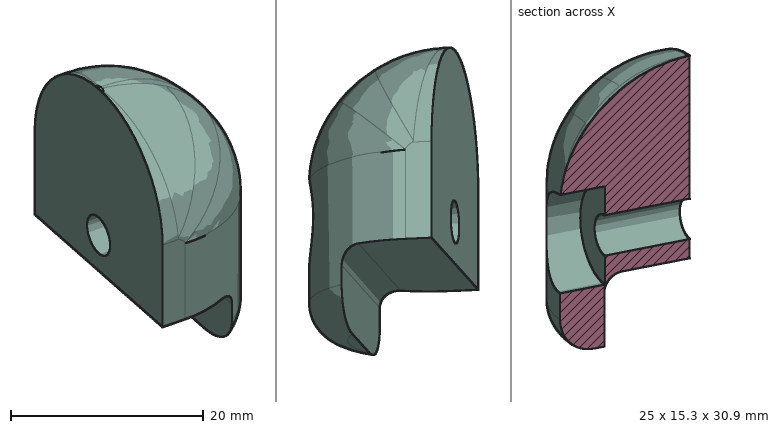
import cadquery as cq
import math

width = 25.0
depth = 15.25
height = 30.85

body_radius = width / 2
straight_depth = depth - body_radius
shoulder_z = height - body_radius

crown_radius = 15.6
crown_axis_z = height - crown_radius
crown_fillet = 12.0

path_radius = body_radius - crown_fillet
path_crown_radius = crown_radius - crown_fillet
shoulder_rise = shoulder_z - crown_axis_z
face_path_start_angle = math.radians(4)
fillet_overshoot = 0.0005
cutter_margin = 1.3
section_steps = 12

body_bottom_z = 8.05
tongue_front_y = 10.0
tongue_inner_fillet = 2.0
tongue_tip_fillet = 4.0

screw_z = 12.5
screw_diameter = 4.5
counterbore_diameter = 11.0
counterbore_floor_y = tongue_front_y


def plan_prism():
    """Half-round plan outline raised to full height."""
    return (
        cq.Workplane("XY")
        .moveTo(-body_radius, 0)
        .lineTo(body_radius, 0)
        .lineTo(body_radius, straight_depth)
        .threePointArc((0, depth), (-body_radius, straight_depth))
        .close()
        .extrude(height)
    )


def face_prism():
    """Round-topped outline of the mounting face carried through the depth."""
    return (
        cq.Workplane("XZ")
        .moveTo(-body_radius, 0)
        .lineTo(body_radius, 0)
        .lineTo(body_radius, shoulder_z)
        .threePointArc((0, height), (-body_radius, shoulder_z))
        .close()
        .extrude(-depth)
    )


def crown_prism():
    """Side outline whose top is the crown arc, carried through the width."""
    return (
        cq.Workplane("YZ")
        .lineTo(crown_radius, 0)
        .lineTo(crown_radius, crown_axis_z)
        .radiusArc((0, height), -crown_radius)
        .close()
        .extrude(body_radius, both=True)
    )


def front_cutout():
    """Space in front of the tongue, with a rounded inner corner."""
    return (
        cq.Workplane("XY")
        .box(width, tongue_front_y, body_bottom_z, centered=(True, False, False))
        .edges("|X and >Y and >Z")
        .fillet(tongue_inner_fillet)
    )


def round_along_y(diameter, start_y):
    """Cylinder on the screw axis from start_y out through the back."""
    return (
        cq.Workplane("XZ", origin=(0, start_y, screw_z))
        .circle(diameter / 2)
        .extrude(start_y - depth)
    )


def fillet_section(centre_x, centre_y, centre_rise, wall_direction):
    """Corner left outside the rounding ball between the crown and the wall.

    The ball centre is given by X, Y and its rise above the crown axis;
    wall_direction is the unit normal of the wall that the ball touches.
    """
    crown_direction = cq.Vector(0, centre_y, centre_rise).normalized()
    corner_direction = (crown_direction + wall_direction).normalized()
    half_angle_cosine = corner_direction.dot(wall_direction)
    centre = cq.Vector(centre_x, centre_y, crown_axis_z + centre_rise)
    centre += corner_direction * (fillet_overshoot / half_angle_cosine)

    crown_contact = centre + crown_direction * crown_fillet
    wall_contact = centre + wall_direction * crown_fillet
    arc_middle = centre + corner_direction * crown_fillet
    corner = centre + corner_direction * (crown_fillet / half_angle_cosine + cutter_margin)
    return cq.Wire.assembleEdges([
        cq.Edge.makeThreePointArc(crown_contact, arc_middle, wall_contact),
        cq.Edge.makeLine(wall_contact, corner),
        cq.Edge.makeLine(corner, crown_contact),
    ])


def face_arc_section(angle):
    """Section where the wall is the round top of the face; angle runs from the top."""
    rise = shoulder_rise + path_radius * math.cos(angle)
    centre_y = math.sqrt(path_crown_radius**2 - rise**2)
    wall_direction = cq.Vector(math.sin(angle), 0, math.cos(angle))
    return fillet_section(path_radius * math.sin(angle), centre_y, rise, wall_direction)


def side_section(angle):
    """Section where the wall is the flat side; angle is about the crown axis."""
    centre_y = path_crown_radius * math.sin(angle)
    rise = path_crown_radius * math.cos(angle)
    return fillet_section(path_radius, centre_y, rise, cq.Vector(1, 0, 0))


def back_arc_section(angle):
    """Section where the wall is the round back; angle runs from the +X side."""
    centre_y = straight_depth + path_radius * math.sin(angle)
    rise = math.sqrt(path_crown_radius**2 - centre_y**2)
    wall_direction = cq.Vector(math.cos(angle), math.sin(angle), 0)
    return fillet_section(path_radius * math.cos(angle), centre_y, rise, wall_direction)


def fillet_cutter(section_at, start_angle, end_angle):
    """Loft through evenly spaced fillet sections."""
    step = (end_angle - start_angle) / section_steps
    sections = [section_at(start_angle + i * step) for i in range(section_steps + 1)]
    return cq.Workplane(obj=cq.Solid.makeLoft(sections))


def round_crown_edges(body):
    """Round the edge between the crown and the walls, on both sides of the part."""
    side_start_angle = math.acos(shoulder_rise / path_crown_radius)
    side_end_angle = math.asin(straight_depth / path_crown_radius)
    face_cutter = fillet_cutter(face_arc_section, face_path_start_angle, math.pi / 2)
    side_cutter = fillet_cutter(side_section, side_start_angle, side_end_angle)
    back_cutter = fillet_cutter(back_arc_section, 0, math.pi)
    for cutter in (face_cutter, side_cutter):
        body = body.cut(cutter).cut(cutter.mirror("YZ"))
    return body.cut(back_cutter)


body = plan_prism().intersect(face_prism()).intersect(crown_prism())
body = body.cut(front_cutout())
body = body.edges("<Z and %CIRCLE").fillet(tongue_tip_fillet)
body = round_crown_edges(body)

screw_hole = round_along_y(screw_diameter, 0)
counterbore = round_along_y(counterbore_diameter, counterbore_floor_y)
result = body.cut(screw_hole).cut(counterbore).solids()